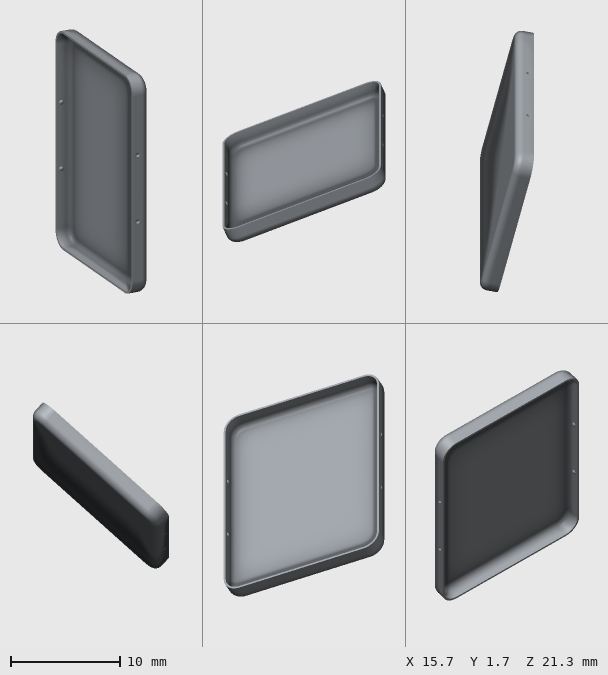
import cadquery as cq
import math

width = 15.7
depth = 1.7
height = 21.3
corner_radius = 1.58
edge_radius = 0.7
wall = 0.2

dent_radius = 0.202
bump_radius = 0.23
dent_depth = 0.13
dent_spacing = 6.5
dent_setback = 0.51

rim_y = -depth / 2
dent_y = rim_y + dent_setback


def rounded_tray(inset):
    """Solid block offset inward by inset, with rounded corners and back edge."""
    return (
        cq.Workplane("XZ", origin=(0, rim_y, 0))
        .rect(width - 2 * inset, height - 2 * inset)
        .extrude(-(depth - inset))
        .edges("|Y")
        .fillet(corner_radius - inset)
        .faces(">Y")
        .edges()
        .fillet(edge_radius - inset)
    )


def dome(face_x, radius, stem):
    """Dome pointing toward -X from the plane at face_x, on a stem reaching toward +X."""
    tip_x = face_x - dent_depth
    sphere_radius = (radius**2 + dent_depth**2) / (2 * dent_depth)
    half_angle = math.asin(radius / sphere_radius) / 2
    mid_x = tip_x + sphere_radius * (1 - math.cos(half_angle))
    mid_offset = sphere_radius * math.sin(half_angle)
    return (
        cq.Workplane("XY")
        .moveTo(tip_x, 0)
        .threePointArc((mid_x, mid_offset), (face_x, radius))
        .lineTo(face_x + stem, radius)
        .lineTo(face_x + stem, 0)
        .close()
        .revolve(360, (0, 0, 0), (1, 0, 0))
        .translate((0, dent_y, 0))
    )


result = rounded_tray(0).cut(rounded_tray(wall))

bump = dome(width / 2 - wall, bump_radius, wall / 2)
dimple = dome(width / 2, dent_radius, wall)
for z in (-dent_spacing / 2, dent_spacing / 2):
    for on_left in (False, True):
        placed_bump = bump.mirror("YZ") if on_left else bump
        placed_dimple = dimple.mirror("YZ") if on_left else dimple
        result = result.union(placed_bump.translate((0, 0, z)))
        result = result.cut(placed_dimple.translate((0, 0, z)))